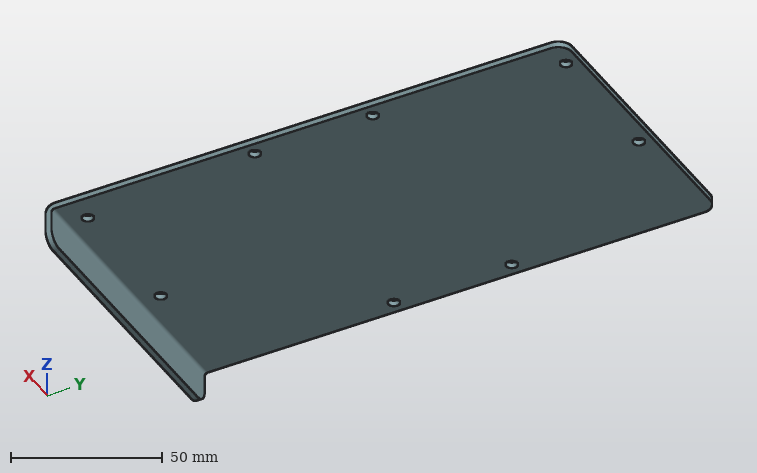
import cadquery as cq

width = 105.0
length = 195.0
height = 15.0
thickness = 2.3
bend_outer_radius = 3.5
bend_inner_radius = bend_outer_radius - thickness
corner_radius = 5.0

hole_diameter = 4.0
end_hole_xs = (-7.5, 42.5)
end_hole_ys = (-87.0, 92.6)
side_hole_x = 47.5
side_hole_ys = (-21.5, 22.8)

front_y = -length / 2
back_y = length / 2


def bent_sheet():
    """L-shaped section in the YZ plane, extruded across the width, with a rounded bend."""
    sheet = (
        cq.Workplane("YZ")
        .moveTo(back_y, 0)
        .lineTo(front_y, 0)
        .lineTo(front_y, -height)
        .lineTo(front_y + thickness, -height)
        .lineTo(front_y + thickness, -thickness)
        .lineTo(back_y, -thickness)
        .close()
        .extrude(width / 2, both=True)
    )
    inner_corner = cq.selectors.NearestToPointSelector((0, front_y + thickness, -thickness))
    outer_corner = cq.selectors.NearestToPointSelector((0, front_y, 0))
    sheet = sheet.edges("|X").edges(inner_corner).fillet(bend_inner_radius)
    return sheet.edges("|X").edges(outer_corner).fillet(bend_outer_radius)


def round_free_corners(sheet):
    """Round the two plate corners at the +Y end and the two lower lip corners."""
    sheet = sheet.faces(">Y").edges("|Z").fillet(corner_radius)
    return sheet.faces("<Z").edges("|Y").fillet(corner_radius)


def drill_holes(sheet):
    """Drill a pair of holes near each end and a pair near each long side."""
    end_holes = [(x, y) for x in end_hole_xs for y in end_hole_ys]
    side_holes = [(x, y) for x in (-side_hole_x, side_hole_x) for y in side_hole_ys]
    drills = (
        cq.Workplane("XY")
        .pushPoints(end_holes + side_holes)
        .circle(hole_diameter / 2)
        .extrude(-thickness)
    )
    return sheet.cut(drills)


result = drill_holes(round_free_corners(bent_sheet()))